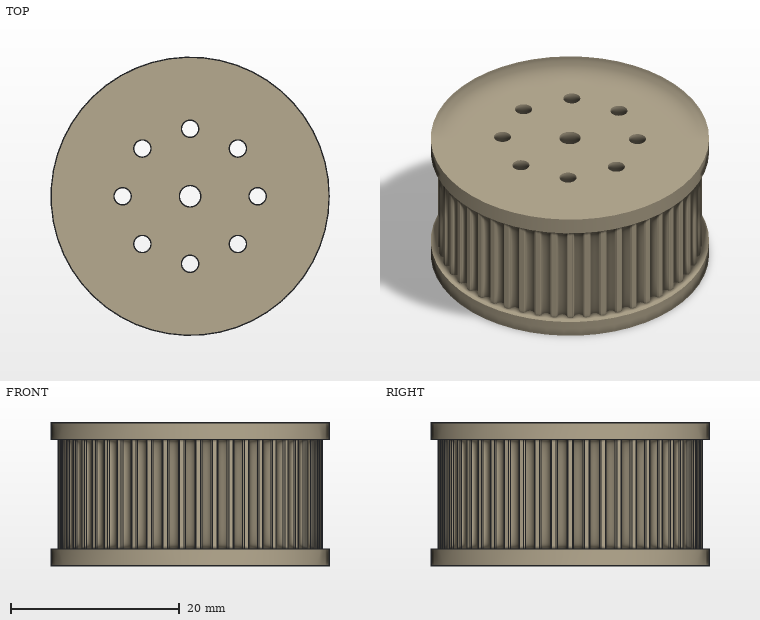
import cadquery as cq
import math

flange_diameter = 33.0
total_height = 17.0
flange_thickness = 2.0

tooth_count = 50
drum_radius = 15.68
drum_height = total_height - 2 * flange_thickness
first_groove_angle = -90.0

groove_radius = 0.55
lip_radius = 0.15
groove_depth = groove_radius + lip_radius
mouth_half_width = groove_radius + lip_radius

bore_diameter = 2.5
hole_diameter = 2.0
hole_count = 8
hole_circle_diameter = 16.0


def polar_point(radius, angle):
    """Point at a radius and an angle in degrees from +X."""
    return (radius * math.cos(math.radians(angle)), radius * math.sin(math.radians(angle)))


def groove_point(across, depth, groove_angle):
    """Place a groove profile point, given across and below the mouth, on the drum."""
    mouth_height = math.sqrt(drum_radius**2 - mouth_half_width**2)
    radial_x, radial_y = polar_point(mouth_height - depth, groove_angle)
    across_x, across_y = polar_point(across, groove_angle + 90)
    return (radial_x + across_x, radial_y + across_y)


def add_groove(outline, angle):
    """Continue the outline through one groove, starting and ending at its mouth."""
    return (
        outline
        .radiusArc(groove_point(-groove_radius, lip_radius, angle), lip_radius)
        .threePointArc(groove_point(0, groove_depth, angle), groove_point(groove_radius, lip_radius, angle))
        .radiusArc(groove_point(mouth_half_width, 0, angle), lip_radius)
    )


def make_drum():
    """Toothed drum, resting on the lower flange."""
    pitch_angle = 360 / tooth_count
    outline = cq.Workplane("XY").workplane(offset=flange_thickness)
    outline = outline.moveTo(*groove_point(-mouth_half_width, 0, first_groove_angle))
    for tooth in range(tooth_count):
        angle = first_groove_angle + tooth * pitch_angle
        outline = add_groove(outline, angle)
        outline = outline.threePointArc(
            polar_point(drum_radius, angle + pitch_angle / 2),
            groove_point(-mouth_half_width, 0, angle + pitch_angle),
        )
    return outline.close().extrude(drum_height)


def make_flange(base_height):
    """Plain disc that keeps the belt on the drum."""
    return (
        cq.Workplane("XY")
        .workplane(offset=base_height)
        .circle(flange_diameter / 2)
        .extrude(flange_thickness)
    )


def make_holes():
    """Central bore and the ring of holes around it, through the full height."""
    bore = cq.Workplane("XY").circle(bore_diameter / 2).extrude(total_height)
    ring = (
        cq.Workplane("XY")
        .polarArray(hole_circle_diameter / 2, 0, 360, hole_count)
        .circle(hole_diameter / 2)
        .extrude(total_height)
    )
    return bore.union(ring)


lower_flange = make_flange(0)
upper_flange = make_flange(total_height - flange_thickness)
result = lower_flange.union(make_drum()).union(upper_flange).cut(make_holes())